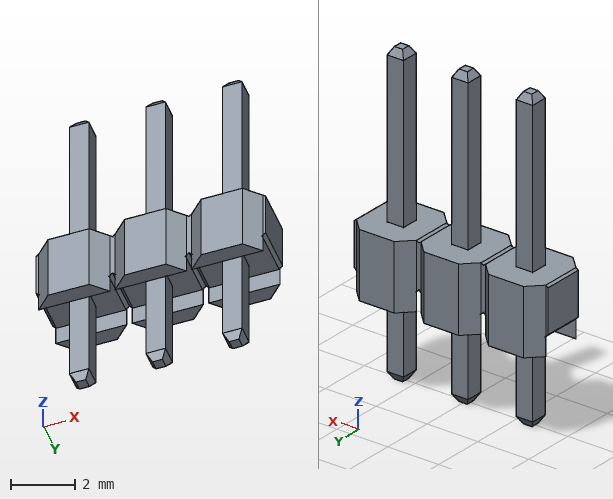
import cadquery as cq

pin_count = 3
pitch = 2.54
pin_length = 11.6
pin_width = 0.65
tip_height = 0.28
tip_width = 0.32

block_width = 2.37
block_depth = 2.54
block_height = 2.49
block_bottom = -2.8
corner_cut = 0.5

channel_height = 0.67
tab_top_drop = 0.07
roof_rise = 0.12
roof_slope_run = 0.12

block_top = block_bottom + block_height
channel_roof = block_bottom + channel_height
tab_depth = block_depth - 2 * corner_cut
pin_places = [(i - (pin_count - 1) / 2) * pitch for i in range(pin_count)]


def make_block(x):
    """One eight-sided block, split along X into two side walls by a full-height slot."""
    block = (
        cq.Workplane("XY", origin=(x, 0, block_bottom))
        .rect(block_width, block_depth)
        .extrude(block_height)
        .edges("|Z")
        .chamfer(corner_cut)
    )
    slot = (
        cq.Workplane("XY", origin=(x, 0, block_bottom))
        .rect(pitch, tab_depth)
        .extrude(block_height)
    )
    return block.cut(slot)


def make_web(x):
    """Web that fills the slot above the channel and ends in a tapered tab on each side."""
    root = block_width / 2
    end = pitch / 2
    flat = end - roof_slope_run
    end_top = block_top - tab_top_drop
    end_bottom = channel_roof + roof_rise
    outline = [
        (-end, end_bottom),
        (-flat, channel_roof),
        (flat, channel_roof),
        (end, end_bottom),
        (end, end_top),
        (root, block_top),
        (-root, block_top),
        (-end, end_top),
    ]
    return (
        cq.Workplane("XZ", origin=(x, 0, 0))
        .polyline(outline)
        .close()
        .extrude(tab_depth / 2, both=True)
    )


def make_pin(x):
    """Square pin with a tapered tip at each end."""
    shaft_length = pin_length - 2 * tip_height
    pin = cq.Workplane("XY").box(pin_width, pin_width, shaft_length)
    tip = (
        cq.Workplane("XY", origin=(0, 0, shaft_length / 2))
        .rect(pin_width, pin_width)
        .workplane(offset=tip_height)
        .rect(tip_width, tip_width)
        .loft(ruled=True)
    )
    return pin.union(tip).union(tip.mirror("XY")).translate((x, 0, 0))


def make_housing(pins):
    """Row of blocks joined through their webs, with a hole for each pin."""
    housing = make_web(pin_places[0])
    for x in pin_places[1:]:
        housing = housing.union(make_web(x))
    for x in pin_places:
        housing = housing.union(make_block(x))
    for pin in pins:
        housing = housing.cut(pin)
    return housing.solids()


pins = [make_pin(x) for x in pin_places]
housing = make_housing(pins)

result = cq.Compound.makeCompound([housing.val(), *[pin.val() for pin in pins]])